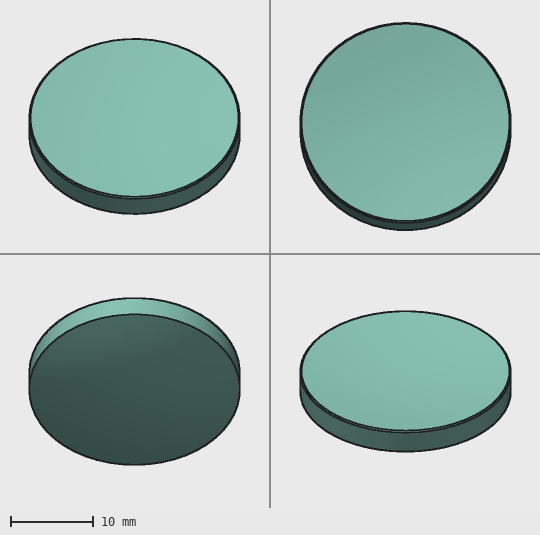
import cadquery as cq

diameter = 25.4
total_height = 5.03
convex_sag = 2.03
concave_sag = 1.02
edge_chamfer = 0.18

radius = diameter / 2
rim_top = total_height / 2
apex_bottom = -total_height / 2
rim_bottom = apex_bottom + convex_sag
concave_radius = radius - edge_chamfer


def sphere_radius(half_chord, sag):
    """Radius of the sphere whose cap has the given half chord and sag."""
    return (half_chord**2 + sag**2) / (2 * sag)


def arc_height(half_chord, sag, offset):
    """Rise of a spherical cap above its lowest point at an offset from the axis."""
    sphere = sphere_radius(half_chord, sag)
    return sphere - (sphere**2 - offset**2) ** 0.5


middle = radius / 2
convex_middle = (middle, apex_bottom + arc_height(radius, convex_sag, middle))
concave_apex = rim_top - concave_sag
concave_middle = (middle, concave_apex + arc_height(concave_radius, concave_sag, middle))

half_section = (
    cq.Workplane("XZ")
    .moveTo(0, apex_bottom)
    .threePointArc(convex_middle, (radius, rim_bottom))
    .lineTo(radius, rim_top - edge_chamfer)
    .lineTo(concave_radius, rim_top)
    .threePointArc(concave_middle, (0, concave_apex))
    .close()
)

result = half_section.revolve(360, (0, 0, 0), (0, 1, 0))